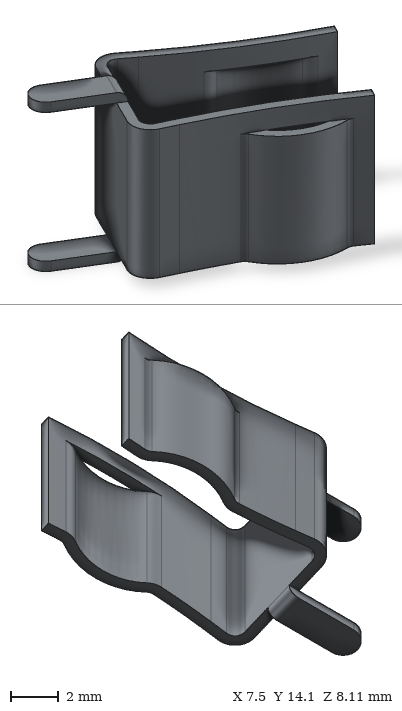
import cadquery as cq
import math

thickness = 0.5
body_height = 7.11
body_width = 6.73
leg_end_y = 10.53

corner_radius = 1.0
lean = math.radians(7)
bow_start_y = 2.02

grip_y = 7.2
bulge_span = 7.5
bulge_radius = 3.79
bulge_height = 6.11
blend_radius = 0.5

tab_width = 1.5
tab_tip_y = -3.6

corner_x = body_width / 2 - corner_radius
bend_end_x = corner_x + corner_radius * math.cos(lean)
bend_end_y = corner_radius + corner_radius * math.sin(lean)
bow_start_x = bend_end_x - (bow_start_y - bend_end_y) * math.tan(lean)

bow_radius = (grip_y - bow_start_y) / math.sin(lean)
bow_x = bow_start_x + bow_radius * math.cos(lean)
bulge_x = bulge_span / 2 - bulge_radius


def polar(center, radius, angle):
    """Point on a circle, angle in radians from +X."""
    return (center[0] + radius * math.cos(angle), center[1] + radius * math.sin(angle))


def bow_point(depth, y):
    """Point of the bowed leg at a depth below its outer face."""
    radius = bow_radius + depth
    return (bow_x - math.sqrt(radius**2 - (y - grip_y)**2), y)


def leg_face(path, depth):
    """Run from the middle of the back plate to the free end of the right leg."""
    corner = (corner_x, corner_radius)
    radius = corner_radius - depth
    straight_end = polar((bow_x, grip_y), bow_radius + depth, math.pi + lean)
    return (
        path.moveTo(0, depth)
        .lineTo(corner_x, depth)
        .threePointArc(polar(corner, radius, (lean - math.pi / 2) / 2), polar(corner, radius, lean))
        .lineTo(*straight_end)
        .threePointArc(bow_point(depth, grip_y), bow_point(depth, leg_end_y))
    )


def leg_half():
    """Right half of the U: the outer profile less the space inside it."""
    outer = leg_face(cq.Workplane("XY"), 0).lineTo(0, leg_end_y).close().extrude(body_height)
    inner = leg_face(cq.Workplane("XY"), thickness).lineTo(0, leg_end_y).close().extrude(body_height)
    return outer.cut(inner)


center_gap = bow_x - bulge_x
bulge_reach = bulge_radius + blend_radius
bow_reach = bow_radius - blend_radius
blend_dx = (center_gap**2 + bulge_reach**2 - bow_reach**2) / (2 * center_gap)
blend_dy = math.sqrt(bulge_reach**2 - blend_dx**2)
blend_angle = math.atan2(blend_dy, blend_dx)
bow_angle = math.atan2(blend_dy, blend_dx - center_gap)


def bulge_face(depth):
    """Points along the bulge at a depth below its outer face, from low to high Y."""
    radius = blend_radius + depth
    blend_center = (bulge_x + blend_dx, grip_y + blend_dy)
    on_leg = polar((bow_x, grip_y), bow_radius + depth, bow_angle)
    mid_blend = polar(blend_center, radius, (bow_angle + blend_angle + math.pi) / 2)
    on_bulge = polar((bulge_x, grip_y), bulge_radius - depth, blend_angle)
    crown = (bulge_x + bulge_radius - depth, grip_y)
    upper = [on_bulge, mid_blend, on_leg]
    lower = [(x, 2 * grip_y - y) for x, y in reversed(upper)]
    return lower + [crown] + upper


def trace_bulge(path, points):
    """Add the three arcs of a bulge face: blend, crown, blend."""
    for middle, end in zip(points[1::2], points[2::2]):
        path = path.threePointArc(middle, end)
    return path


def bulge():
    outer = bulge_face(0)
    inner = bulge_face(thickness)[::-1]
    path = trace_bulge(cq.Workplane("XY").moveTo(*outer[0]), outer)
    path = trace_bulge(path.lineTo(*inner[0]), inner)
    return path.close().extrude(bulge_height)


def bulge_window():
    """Stretch of the flat leg that is pushed out to form the bulge."""
    outer_end = bulge_face(0)[-1]
    inner_end = bulge_face(thickness)[-1]
    return (
        cq.Workplane("XY")
        .moveTo(outer_end[0], 2 * grip_y - outer_end[1])
        .threePointArc(bow_point(0, grip_y), outer_end)
        .lineTo(*inner_end)
        .threePointArc(bow_point(thickness, grip_y), (inner_end[0], 2 * grip_y - inner_end[1]))
        .close()
        .extrude(bulge_height)
    )


def top_tab():
    """Tab bent back from the top edge of the back plate, with a round tip."""
    tab = (
        cq.Workplane("XY", origin=(0, 0, body_height))
        .moveTo(-tab_width / 2, thickness)
        .lineTo(tab_width / 2, thickness)
        .lineTo(tab_width / 2, tab_tip_y + tab_width / 2)
        .threePointArc((0, tab_tip_y), (-tab_width / 2, tab_tip_y + tab_width / 2))
        .close()
        .extrude(thickness)
    )
    bend_square = cq.Workplane("XY").box(tab_width, thickness, thickness, centered=(True, False, False))
    bend_round = cq.Workplane("YZ").circle(thickness).extrude(tab_width / 2, both=True)
    waste = bend_square.cut(bend_round).translate((0, 0, body_height))
    return tab.cut(waste)


right_half = leg_half().cut(bulge_window()).union(bulge())
upper_tab = top_tab()
lower_tab = upper_tab.mirror("XY", (0, 0, body_height / 2))
result = right_half.union(right_half.mirror("YZ")).union(upper_tab).union(lower_tab)